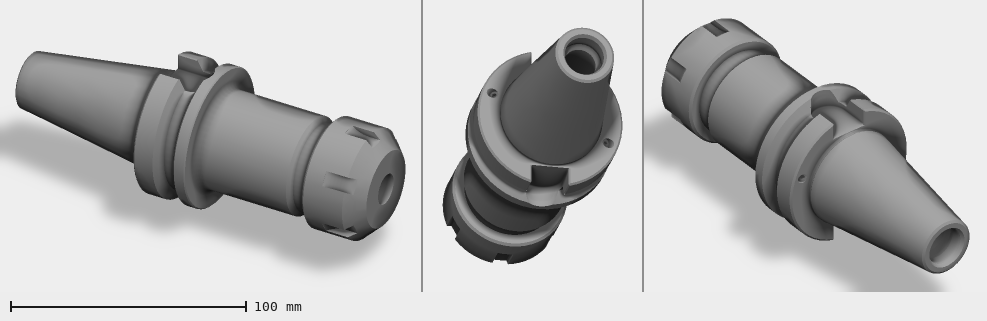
import cadquery as cq
import math

OVERALL_LENGTH = 172.59
TAPER_LENGTH = 65.4
TAPER_RATIO = 7 / 24
GAUGE_DIAMETER = 44.45
SMALL_END_DIAMETER = GAUGE_DIAMETER - TAPER_LENGTH * TAPER_RATIO
SMALL_END_FACE_DIAMETER = 23.5
SMALL_END_CHAMFER_LENGTH = 0.8
RELIEF_DIAMETER = 43.94
RELIEF_STEP_LENGTH = 0.4
RELIEF_FILLET = 0.5

FLANGE_FRONT = 2.0
FLANGE_BACK = 27.0
FLANGE_DIAMETER = 63.0
FLANGE_FRONT_CHAMFER = 0.8
FLANGE_BACK_CHAMFER = 0.5
GROOVE_CENTER = 16.7
GROOVE_FLOOR_WIDTH = 4.5
GROOVE_DIAMETER = 53.0
GROOVE_WALL_ANGLE = 30.0
GROOVE_DEPTH = (FLANGE_DIAMETER - GROOVE_DIAMETER) / 2
GROOVE_MOUTH_HALF = GROOVE_FLOOR_WIDTH / 2 + GROOVE_DEPTH * math.tan(math.radians(GROOVE_WALL_ANGLE))

BODY_DIAMETER = 44.45
BODY_FILLET = 3.0
BODY_END = 71.0
THREAD_DIAMETER = 40.0
HOLDER_END = 99.6

BORE_DIAMETER = 13.84
PILOT_DIAMETER = 17.01
PILOT_DEPTH = 7.0
UNDERCUT_DIAMETER = 17.62
UNDERCUT_LENGTH = 1.9
PILOT_CHAMFER_DIAMETER = 18.92
PILOT_CHAMFER_ANGLE = 30.0

SLOT_WIDTH = 16.1
SLOT_FLOOR_HEIGHT = 22.5
SLOT_ARC_CENTER = 15.55
SLOT_FLOOR_FILLET = 0.6
SLOT_EDGE_CHAMFER = 0.6

SCREW_PITCH_RADIUS = 26.8
SCREW_ANGLES = (20.0, 200.0)
SCREW_TILT = 35.0
SCREW_HOLE_DIAMETER = 4.2
SCREW_DIAMETER = 4.0
SCREW_RECESS = 1.8
SCREW_LENGTH = 4.0
SCREW_SOCKET_FLATS = 2.0
SCREW_SOCKET_DEPTH = 1.5

NUT_BACK = 79.8
NUT_FRONT = OVERALL_LENGTH - TAPER_LENGTH
NUT_DIAMETER = 50.0
NUT_BACK_CHAMFER = 1.0
NUT_CONE_START = 99.6
NUT_SLOT_COUNT = 6
NUT_SLOT_FIRST_ANGLE = 0.0
NUT_SLOT_WIDTH = 6.8
NUT_SLOT_START = 89.1
NUT_SLOT_FLAT_START = 97.4
NUT_SLOT_FLOOR_RADIUS = 21.7


def about_x(profile):
    """Revolve a closed XY outline around the X axis."""
    return profile.close().revolve(360, (0, 0, 0), (1, 0, 0))


def make_holder_blank():
    flange_radius = FLANGE_DIAMETER / 2
    groove_radius = GROOVE_DIAMETER / 2
    body_radius = BODY_DIAMETER / 2
    relief_radius = RELIEF_DIAMETER / 2
    thread_radius = THREAD_DIAMETER / 2
    small_end_radius = SMALL_END_DIAMETER / 2 + SMALL_END_CHAMFER_LENGTH * TAPER_RATIO / 2
    groove_floor_half = GROOVE_FLOOR_WIDTH / 2
    relief_fillet_mid = RELIEF_FILLET * (1 - math.sqrt(0.5))
    body_fillet_mid = BODY_FILLET * (1 - math.sqrt(0.5))

    profile = (
        cq.Workplane("XY")
        .moveTo(-TAPER_LENGTH, 0)
        .lineTo(-TAPER_LENGTH, SMALL_END_FACE_DIAMETER / 2)
        .lineTo(-TAPER_LENGTH + SMALL_END_CHAMFER_LENGTH, small_end_radius)
        .lineTo(0, GAUGE_DIAMETER / 2)
        .lineTo(RELIEF_STEP_LENGTH, relief_radius)
        .lineTo(FLANGE_FRONT - RELIEF_FILLET, relief_radius)
        .threePointArc(
            (FLANGE_FRONT - relief_fillet_mid, relief_radius + relief_fillet_mid),
            (FLANGE_FRONT, relief_radius + RELIEF_FILLET),
        )
        .lineTo(FLANGE_FRONT, flange_radius - FLANGE_FRONT_CHAMFER)
        .lineTo(FLANGE_FRONT + FLANGE_FRONT_CHAMFER, flange_radius)
        .lineTo(GROOVE_CENTER - GROOVE_MOUTH_HALF, flange_radius)
        .lineTo(GROOVE_CENTER - groove_floor_half, groove_radius)
        .lineTo(GROOVE_CENTER + groove_floor_half, groove_radius)
        .lineTo(GROOVE_CENTER + GROOVE_MOUTH_HALF, flange_radius)
        .lineTo(FLANGE_BACK - FLANGE_BACK_CHAMFER, flange_radius)
        .lineTo(FLANGE_BACK, flange_radius - FLANGE_BACK_CHAMFER)
        .lineTo(FLANGE_BACK, body_radius + BODY_FILLET)
        .threePointArc(
            (FLANGE_BACK + body_fillet_mid, body_radius + body_fillet_mid),
            (FLANGE_BACK + BODY_FILLET, body_radius),
        )
        .lineTo(BODY_END, body_radius)
        .lineTo(BODY_END + body_radius - thread_radius, thread_radius)
        .lineTo(HOLDER_END, thread_radius)
        .lineTo(HOLDER_END, 0)
    )
    return about_x(profile)


def make_holder_bore():
    """Through bore with a chamfered pilot, an undercut and a 45 degree cone at the small end."""
    pilot_radius = PILOT_DIAMETER / 2
    undercut_radius = UNDERCUT_DIAMETER / 2
    bore_radius = BORE_DIAMETER / 2
    chamfer_radius = PILOT_CHAMFER_DIAMETER / 2
    chamfer_length = (chamfer_radius - pilot_radius) / math.tan(math.radians(PILOT_CHAMFER_ANGLE))
    pilot_end = -TAPER_LENGTH + PILOT_DEPTH
    undercut_end = pilot_end + UNDERCUT_LENGTH
    profile = (
        cq.Workplane("XY")
        .moveTo(-TAPER_LENGTH, 0)
        .lineTo(-TAPER_LENGTH, chamfer_radius)
        .lineTo(-TAPER_LENGTH + chamfer_length, pilot_radius)
        .lineTo(pilot_end, pilot_radius)
        .lineTo(pilot_end, undercut_radius)
        .lineTo(undercut_end, undercut_radius)
        .lineTo(undercut_end + undercut_radius - bore_radius, bore_radius)
        .lineTo(HOLDER_END, bore_radius)
        .lineTo(HOLDER_END, 0)
    )
    return about_x(profile)


def make_drive_slot():
    """Cutter for the U-shaped slot on the +Z side, open toward the small end."""
    half_width = SLOT_WIDTH / 2
    slot_height = FLANGE_DIAMETER / 2 - SLOT_FLOOR_HEIGHT
    cutter = (
        cq.Workplane("XY", origin=(0, 0, SLOT_FLOOR_HEIGHT))
        .moveTo(0, -half_width)
        .lineTo(SLOT_ARC_CENTER, -half_width)
        .threePointArc((SLOT_ARC_CENTER + half_width, 0), (SLOT_ARC_CENTER, half_width))
        .lineTo(0, half_width)
        .close()
        .extrude(slot_height)
        .faces("<Z")
        .edges("not <X")
        .fillet(SLOT_FLOOR_FILLET)
    )
    return cutter.union(make_slot_mouth_chamfer()).union(make_slot_rim_chamfer())


def make_slot_mouth_chamfer():
    """Wedge that breaks the slot's edges on the flange face."""
    half_width = SLOT_WIDTH / 2
    mouth_half = half_width + SLOT_EDGE_CHAMFER
    return (
        cq.Workplane("XY", origin=(0, 0, SLOT_FLOOR_HEIGHT))
        .moveTo(FLANGE_FRONT, -mouth_half)
        .lineTo(FLANGE_FRONT + SLOT_EDGE_CHAMFER, -half_width)
        .lineTo(FLANGE_FRONT + SLOT_EDGE_CHAMFER, half_width)
        .lineTo(FLANGE_FRONT, mouth_half)
        .close()
        .extrude(FLANGE_DIAMETER / 2 - SLOT_FLOOR_HEIGHT)
    )


def make_slot_rim_chamfer():
    """Wedge that breaks the slot's edges on the outside of the front flange ring."""
    half_width = SLOT_WIDTH / 2
    flange_radius = FLANGE_DIAMETER / 2
    chamfer_foot = math.sqrt(flange_radius**2 - half_width**2) - SLOT_EDGE_CHAMFER
    top_half = half_width + flange_radius - chamfer_foot
    return (
        cq.Workplane("YZ", origin=(FLANGE_FRONT, 0, 0))
        .moveTo(-half_width, chamfer_foot)
        .lineTo(half_width, chamfer_foot)
        .lineTo(top_half, flange_radius)
        .lineTo(-top_half, flange_radius)
        .close()
        .extrude(GROOVE_CENTER - GROOVE_MOUTH_HALF - FLANGE_FRONT)
    )


def screw_plane(angle, depth):
    """Plane on the tilted screw axis, `depth` below the flange face, looking into the flange."""
    tilt = math.radians(SCREW_TILT)
    turn = math.radians(angle)
    radial = cq.Vector(0, math.cos(turn), math.sin(turn))
    inward = cq.Vector(math.cos(tilt), 0, 0) - radial * math.sin(tilt)
    entry = cq.Vector(FLANGE_FRONT, 0, 0) + radial * SCREW_PITCH_RADIUS
    tangent = cq.Vector(0, -math.sin(turn), math.cos(turn))
    return cq.Workplane(cq.Plane(entry + inward * depth, tangent, inward))


def make_screw_hole(angle):
    clearance = SCREW_HOLE_DIAMETER
    entry = screw_plane(angle, -clearance).circle(clearance / 2).extrude(clearance + SCREW_RECESS)
    seat = screw_plane(angle, SCREW_RECESS).circle(SCREW_DIAMETER / 2).extrude(SCREW_LENGTH)
    return entry.union(seat)


def make_screw(angle):
    body = screw_plane(angle, SCREW_RECESS).circle(SCREW_DIAMETER / 2).extrude(SCREW_LENGTH)
    socket_corners = SCREW_SOCKET_FLATS / math.cos(math.pi / 6)
    socket = screw_plane(angle, SCREW_RECESS).polygon(6, socket_corners).extrude(SCREW_SOCKET_DEPTH)
    return body.cut(socket)


def make_holder():
    slot = make_drive_slot()
    holder = make_holder_blank().cut(make_holder_bore())
    for side in (0, 180):
        holder = holder.cut(slot.rotate((0, 0, 0), (1, 0, 0), side))
    for angle in SCREW_ANGLES:
        holder = holder.cut(make_screw_hole(angle))
    return holder


def make_nut_slot():
    """Cutter for a spanner slot on the +Z side, with a run-in arc ahead of a flat floor."""
    half_width = NUT_SLOT_WIDTH / 2
    nut_radius = NUT_DIAMETER / 2
    run = NUT_SLOT_FLAT_START - NUT_SLOT_START
    start_height = math.sqrt(nut_radius**2 - half_width**2)
    rise = start_height - NUT_SLOT_FLOOR_RADIUS
    arc_radius = (run**2 + rise**2) / (2 * rise)
    half_sweep = math.asin(run / arc_radius) / 2
    arc_mid = (
        NUT_SLOT_FLAT_START - arc_radius * math.sin(half_sweep),
        NUT_SLOT_FLOOR_RADIUS + arc_radius * (1 - math.cos(half_sweep)),
    )
    return (
        cq.Workplane("XZ")
        .moveTo(NUT_SLOT_START, nut_radius)
        .lineTo(NUT_SLOT_START, start_height)
        .threePointArc(arc_mid, (NUT_SLOT_FLAT_START, NUT_SLOT_FLOOR_RADIUS))
        .lineTo(NUT_FRONT, NUT_SLOT_FLOOR_RADIUS)
        .lineTo(NUT_FRONT, nut_radius)
        .close()
        .extrude(half_width, both=True)
    )


def make_nut():
    nut_radius = NUT_DIAMETER / 2
    thread_radius = THREAD_DIAMETER / 2
    bore_radius = BORE_DIAMETER / 2
    front_radius = nut_radius - (NUT_FRONT - NUT_CONE_START)
    profile = (
        cq.Workplane("XY")
        .moveTo(NUT_BACK, thread_radius)
        .lineTo(NUT_BACK, nut_radius - NUT_BACK_CHAMFER)
        .lineTo(NUT_BACK + NUT_BACK_CHAMFER, nut_radius)
        .lineTo(NUT_CONE_START, nut_radius)
        .lineTo(NUT_FRONT, front_radius)
        .lineTo(NUT_FRONT, bore_radius)
        .lineTo(HOLDER_END, bore_radius)
        .lineTo(HOLDER_END, thread_radius)
    )
    nut = about_x(profile)
    slot = make_nut_slot()
    for index in range(NUT_SLOT_COUNT):
        angle = NUT_SLOT_FIRST_ANGLE + index * 360 / NUT_SLOT_COUNT
        nut = nut.cut(slot.rotate((0, 0, 0), (1, 0, 0), angle))
    return nut


holder = make_holder()
nut = make_nut()
screws = [make_screw(angle) for angle in SCREW_ANGLES]

result = cq.Compound.makeCompound([holder.val(), nut.val(), *[screw.val() for screw in screws]])